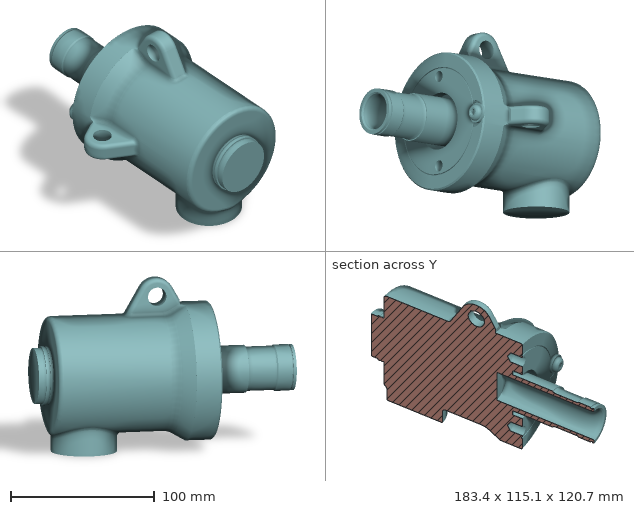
import cadquery as cq
import math


FLANGE_RADIUS = 48.4
FLANGE_LENGTH = 18.4
FLANGE_EDGE_CHAMFER = 1.0
BODY_RADIUS = 41.3
BODY_LENGTH = 114.2
BODY_END_FILLET = 3.0
BARREL_SURPLUS = 20.0
CONE_ANGLE = math.radians(30)
CONE_LENGTH = 9.2
CONE_FRONT_X = 5.0
NECK_FILLET = 13.0

CAP_RADIUS = 37.2
CAP_GROOVE_WIDTH = 0.8
CAP_GROOVE_DEPTH = 1.0
PIN_HOLE_DIAMETER = 7.9
PIN_HOLE_DEPTH = 10.0
PIN_HOLE_OFFSET = 31.6
DRILL_POINT_ANGLE = math.radians(118)
SHAFT_CLEARANCE_DIAMETER = 40.0
SHAFT_CLEARANCE_DEPTH = 8.0

SHAFT_PROJECTION = 58.95
SHAFT_DIAMETER = 33.4
SHAFT_SHOULDER_DIAMETER = 32.0
NECK_DIAMETER = 30.89
NECK_START = 13.9
NECK_END = 31.2
SHOULDER_END = 34.0
SEAT_DIAMETER = 32.36
SEAT_START = 2.9
SEAT_END = 13.0
RING_GROOVE_DIAMETER = 30.59
NOSE_DIAMETER = 32.0
NOSE_LENGTH = 2.0
BORE_DIAMETER = 25.0
BORE_MOUTH_DIAMETER = 27.0
BORE_DEPTH = 80.0

COLLAR_DIAMETER = 41.2
COLLAR_GROOVE_DIAMETER = 40.2
COLLAR_END = 119.3
COLLAR_BANDS = ((115.0, 116.2), (117.2, COLLAR_END))
STUB_DIAMETER = 39.0
OVERALL_LENGTH = 183.39
REAR_END = OVERALL_LENGTH - SHAFT_PROJECTION

PORT_DIAMETER = 46.2
PORT_CENTER_X = 88.8
PORT_DEPTH = 54.0
PORT_FILLET = 2.3

LUG_CENTER_X = 38.1
LUG_HOLE_HEIGHT = 54.0
LUG_HOLE_DIAMETER = 13.0
LUG_TIP_RADIUS = 12.7
LUG_TOP = LUG_HOLE_HEIGHT + LUG_TIP_RADIUS
LUG_WIDTH = 12.7
LUG_EDGE_FILLET = 3.0
LUG_FRONT_X = 22.0
LUG_SIDE_ANGLE = math.radians(60)
LUG_ROOT_HEIGHT = 30.0
LUG_FOOT_FILLET = 3.0

SCREW_OFFSET = 41.9
SCREW_POCKET_OFFSET = 38.2
SCREW_POCKET_RADIUS = 9.4
SCREW_POCKET_DEPTH = 0.5
WASHER_DIAMETER = 14.0
WASHER_THICKNESS = 1.5
SCREW_HEAD_DIAMETER = 11.1
SCREW_HEAD_TOP_DIAMETER = 7.4
SCREW_HEAD_HEIGHT = 3.5
SCREW_BULGE = 0.6
SOCKET_DIAMETER = 4.58
SOCKET_MOUTH_DIAMETER = 4.98
SOCKET_DEPTH = 2.0


def cylinder_x(diameter, start, end, y=0, z=0):
    """Cylinder along X between two X positions."""
    axis_start = cq.Vector(start, y, z)
    return cq.Workplane(obj=cq.Solid.makeCylinder(diameter / 2, end - start, axis_start, cq.Vector(1, 0, 0)))


def cone_x(start_diameter, end_diameter, start, end, y=0, z=0):
    """Cone frustum along X between two X positions."""
    axis_start = cq.Vector(start, y, z)
    return cq.Workplane(
        obj=cq.Solid.makeCone(
            start_diameter / 2, end_diameter / 2, end - start, axis_start, cq.Vector(1, 0, 0)
        )
    )


def revolve_about_x(profile):
    """Close a half outline and turn it about the X axis."""
    return profile.close().revolve(360, (0, 0, 0), (1, 0, 0))


def make_barrel():
    """Barrel and cone joined by a tangent arc, both overlong: the ends are trimmed off later."""
    arc_start_x = FLANGE_LENGTH + CONE_LENGTH
    arc_end_x = arc_start_x + NECK_FILLET * math.sin(CONE_ANGLE)
    arc_center_r = BODY_RADIUS + NECK_FILLET
    arc_start_r = arc_center_r - NECK_FILLET * math.cos(CONE_ANGLE)
    arc_middle = (
        arc_end_x - NECK_FILLET * math.sin(CONE_ANGLE / 2),
        arc_center_r - NECK_FILLET * math.cos(CONE_ANGLE / 2),
    )
    cone_front_r = arc_start_r + (arc_start_x - CONE_FRONT_X) * math.tan(CONE_ANGLE)
    profile = (
        cq.Workplane("XY")
        .moveTo(CONE_FRONT_X, 0)
        .lineTo(CONE_FRONT_X, cone_front_r)
        .lineTo(arc_start_x, arc_start_r)
        .threePointArc(arc_middle, (arc_end_x, BODY_RADIUS))
        .lineTo(BODY_LENGTH + BARREL_SURPLUS, BODY_RADIUS)
        .lineTo(BODY_LENGTH + BARREL_SURPLUS, 0)
    )
    return revolve_about_x(profile)


def add_port(body):
    """Round port boss pointing down, blended into the barrel."""
    port = cq.Workplane("XY").center(PORT_CENTER_X, 0).circle(PORT_DIAMETER / 2).extrude(-PORT_DEPTH)
    seam_box = cq.selectors.BoxSelector(
        (PORT_CENTER_X - PORT_DIAMETER / 2, -PORT_DIAMETER / 2, -BODY_RADIUS),
        (PORT_CENTER_X + PORT_DIAMETER / 2, PORT_DIAMETER / 2, 0),
    )
    return body.union(port).edges(seam_box).fillet(PORT_FILLET)


def lug_rear_side(workplane):
    """Continue an outline from the top of a lug around its tip and down its sloped rear side."""
    tangent_dx = LUG_TIP_RADIUS * math.sin(LUG_SIDE_ANGLE)
    tangent_z = LUG_HOLE_HEIGHT + LUG_TIP_RADIUS * math.cos(LUG_SIDE_ANGLE)
    root_dx = tangent_dx + (tangent_z - LUG_ROOT_HEIGHT) / math.tan(LUG_SIDE_ANGLE)
    half_angle = LUG_SIDE_ANGLE / 2
    arc_middle = (
        LUG_CENTER_X + LUG_TIP_RADIUS * math.sin(half_angle),
        LUG_HOLE_HEIGHT + LUG_TIP_RADIUS * math.cos(half_angle),
    )
    return (
        workplane.threePointArc(arc_middle, (LUG_CENTER_X + tangent_dx, tangent_z))
        .lineTo(LUG_CENTER_X + root_dx, LUG_ROOT_HEIGHT)
        .close()
        .extrude(LUG_WIDTH / 2, both=True)
    )


def make_lug_blank():
    """Upright lug whose front still runs forward as a straight wall."""
    outline = (
        cq.Workplane("XZ")
        .moveTo(CONE_FRONT_X, LUG_ROOT_HEIGHT)
        .lineTo(CONE_FRONT_X, LUG_TOP)
        .lineTo(LUG_CENTER_X, LUG_TOP)
    )
    return lug_rear_side(outline).faces("|Y").edges("not(<Z or <X)").fillet(LUG_EDGE_FILLET)


def make_lug_front_waste():
    """What is cut from the lug blank to leave its sloped, edge-rounded front side."""
    half_outline = cq.Workplane("XZ").moveTo(LUG_CENTER_X, LUG_ROOT_HEIGHT).lineTo(LUG_CENTER_X, LUG_TOP)
    half_lug = lug_rear_side(half_outline).faces("|Y").edges("not(<Z or <X)").fillet(LUG_EDGE_FILLET)
    front_half = half_lug.mirror("YZ", (LUG_CENTER_X, 0, 0))
    block = cq.Workplane("XY", origin=(LUG_FRONT_X, -LUG_WIDTH / 2, FLANGE_RADIUS)).box(
        LUG_CENTER_X - LUG_FRONT_X, LUG_WIDTH, LUG_TOP - FLANGE_RADIUS, centered=False
    )
    return block.cut(front_half)


def add_lug(body):
    """Join the top lug, round its foot against the housing, shape its front and drill it."""
    body = body.union(make_lug_blank())
    seam_box = cq.selectors.BoxSelector(
        (CONE_FRONT_X + 1, -LUG_WIDTH, LUG_ROOT_HEIGHT),
        (LUG_CENTER_X + 2 * LUG_TIP_RADIUS, LUG_WIDTH, LUG_HOLE_HEIGHT),
    )
    hole = (
        cq.Workplane("XZ")
        .center(LUG_CENTER_X, LUG_HOLE_HEIGHT)
        .circle(LUG_HOLE_DIAMETER / 2)
        .extrude(LUG_WIDTH, both=True)
    )
    body = body.edges(seam_box).edges("|X or (not %LINE)").fillet(LUG_FOOT_FILLET)
    return body.cut(make_lug_front_waste()).cut(hole)


def add_lugs(body):
    """One lug points up (+Z) and an equal one points sideways (-Y)."""
    axis_start, axis_end = (0, 0, 0), (1, 0, 0)
    body = add_lug(body.rotate(axis_start, axis_end, -90))
    return add_lug(body.rotate(axis_start, axis_end, 90))


def trim_rear(body):
    """Cut the barrel to length and round its rear edge."""
    surplus = cylinder_x(4 * BODY_RADIUS, BODY_LENGTH, BODY_LENGTH + BARREL_SURPLUS)
    return body.cut(surplus).faces(">X").edges().fillet(BODY_END_FILLET)


def add_flange(body):
    """Trim the overlong cone and lug fronts, leaving a short pad under each lug, and add the flange."""
    front_waste = cylinder_x(4 * FLANGE_RADIUS, 0, FLANGE_LENGTH)
    pad_waste = cylinder_x(4 * FLANGE_RADIUS, 0, LUG_FRONT_X).cut(
        cylinder_x(2 * FLANGE_RADIUS, 0, LUG_FRONT_X)
    )
    flange = cylinder_x(2 * FLANGE_RADIUS, 0, FLANGE_LENGTH).faces("<X").chamfer(FLANGE_EDGE_CHAMFER)
    return body.cut(front_waste).cut(pad_waste).union(flange)


def cut_cap_details(body):
    """Ring groove around the cap, two pin holes and the clearance around the shaft."""
    groove = cylinder_x(2 * (CAP_RADIUS + CAP_GROOVE_WIDTH), 0, CAP_GROOVE_DEPTH).cut(
        cylinder_x(2 * CAP_RADIUS, 0, CAP_GROOVE_DEPTH)
    )
    body = body.cut(groove)
    point_length = PIN_HOLE_DIAMETER / 2 / math.tan(DRILL_POINT_ANGLE / 2)
    for side in (-1, 1):
        z = side * PIN_HOLE_OFFSET
        body = body.cut(cylinder_x(PIN_HOLE_DIAMETER, 0, PIN_HOLE_DEPTH, z=z))
        body = body.cut(cone_x(PIN_HOLE_DIAMETER, 0, PIN_HOLE_DEPTH, PIN_HOLE_DEPTH + point_length, z=z))
    return body.cut(cylinder_x(SHAFT_CLEARANCE_DIAMETER, 0, SHAFT_CLEARANCE_DEPTH))


def make_shaft():
    """Stepped shaft with a ring groove behind its nose and a fillet up to the shoulder."""
    rise = (SHAFT_SHOULDER_DIAMETER - NECK_DIAMETER) / 2
    run = SHOULDER_END - NECK_END
    fillet_radius = (run**2 + rise**2) / (2 * rise)
    sweep = math.asin(run / fillet_radius)
    fillet_middle = (
        NECK_END + fillet_radius * math.sin(sweep / 2),
        NECK_DIAMETER / 2 + fillet_radius * (1 - math.cos(sweep / 2)),
    )
    length = SHAFT_PROJECTION + SHAFT_CLEARANCE_DEPTH
    profile = (
        cq.Workplane("XY")
        .lineTo(0, NOSE_DIAMETER / 2)
        .lineTo(NOSE_LENGTH, NOSE_DIAMETER / 2)
        .lineTo(NOSE_LENGTH, RING_GROOVE_DIAMETER / 2)
        .lineTo(SEAT_START, RING_GROOVE_DIAMETER / 2)
        .lineTo(SEAT_START, SEAT_DIAMETER / 2)
        .lineTo(SEAT_END, SEAT_DIAMETER / 2)
        .lineTo(NECK_START, NECK_DIAMETER / 2)
        .lineTo(NECK_END, NECK_DIAMETER / 2)
        .threePointArc(fillet_middle, (SHOULDER_END, SHAFT_SHOULDER_DIAMETER / 2))
        .lineTo(SHOULDER_END, SHAFT_DIAMETER / 2)
        .lineTo(length, SHAFT_DIAMETER / 2)
        .lineTo(length, 0)
    )
    return revolve_about_x(profile).translate((-SHAFT_PROJECTION, 0, 0))


def make_bore():
    """Blind shaft bore with a chamfered mouth."""
    mouth_x = -SHAFT_PROJECTION
    chamfer = (BORE_MOUTH_DIAMETER - BORE_DIAMETER) / 2
    mouth = cone_x(BORE_MOUTH_DIAMETER, BORE_DIAMETER, mouth_x, mouth_x + chamfer)
    return cylinder_x(BORE_DIAMETER, mouth_x, mouth_x + BORE_DEPTH).union(mouth)


def make_rear_stub():
    """Stub at the rear, with a grooved collar against the barrel."""
    stub = cylinder_x(STUB_DIAMETER, BODY_LENGTH, REAR_END)
    stub = stub.union(cylinder_x(COLLAR_GROOVE_DIAMETER, BODY_LENGTH, COLLAR_END))
    for start, end in COLLAR_BANDS:
        stub = stub.union(cylinder_x(COLLAR_DIAMETER, start, end))
    return stub


def screw_pocket():
    """Shallow round pocket in the flange beside the cap; it stops at the cap edge."""
    pocket = cylinder_x(2 * SCREW_POCKET_RADIUS, 0, SCREW_POCKET_DEPTH, y=-SCREW_POCKET_OFFSET)
    return pocket.cut(cylinder_x(2 * CAP_RADIUS, 0, SCREW_POCKET_DEPTH))


def make_screw():
    """Button-head screw with a washer and a hexagon socket."""
    y = -SCREW_OFFSET
    head_top = -WASHER_THICKNESS - SCREW_HEAD_HEIGHT
    head_r = SCREW_HEAD_DIAMETER / 2
    top_r = SCREW_HEAD_TOP_DIAMETER / 2
    bulge_point = (-SCREW_HEAD_HEIGHT * SCREW_BULGE, (head_r + top_r) / 2 + SCREW_BULGE)
    head = revolve_about_x(
        cq.Workplane("XY")
        .lineTo(0, head_r)
        .threePointArc(bulge_point, (-SCREW_HEAD_HEIGHT, top_r))
        .lineTo(-SCREW_HEAD_HEIGHT, 0)
    ).translate((-WASHER_THICKNESS, y, 0))
    socket = cq.Workplane("YZ", origin=(head_top, y, 0)).polygon(6, SOCKET_DIAMETER).extrude(SOCKET_DEPTH)
    socket_point = cone_x(SOCKET_MOUTH_DIAMETER, 0, head_top, head_top + SOCKET_DEPTH, y=y)
    washer = cylinder_x(WASHER_DIAMETER, -WASHER_THICKNESS, SCREW_POCKET_DEPTH, y=y)
    return washer.union(head).cut(socket).cut(socket_point)


housing = add_lugs(add_port(make_barrel()))
housing = add_flange(trim_rear(housing))
housing = cut_cap_details(housing).cut(screw_pocket())
result = housing.union(make_shaft()).union(make_rear_stub()).union(make_screw()).cut(make_bore())